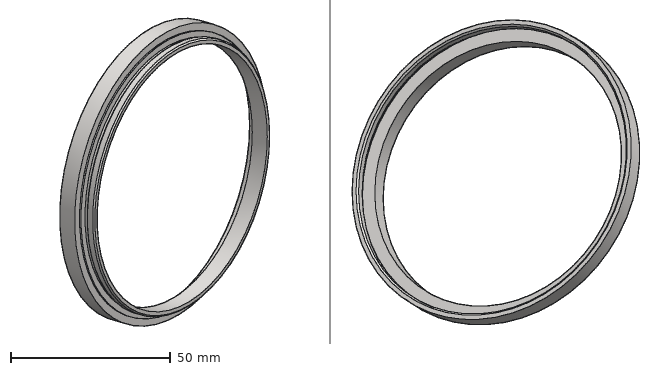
import cadquery as cq

rim_diameter = 98.0
shoulder_diameter = 93.0
male_thread_diameter = 90.0
male_relief_diameter = 89.0
female_thread_diameter = 94.0
female_relief_diameter = 95.2
bore_diameter = 86.5

rim_end = 6.0
shoulder_end = 6.6
male_thread_start = 7.9
total_length = 10.5
female_thread_end = 3.0
recess_depth = 4.5

male_taper = (male_thread_diameter - male_relief_diameter) / 2
female_taper = (female_relief_diameter - female_thread_diameter) / 2


def ring_section():
    """Half section of the ring: X is the axis, Y is the radius."""
    bore = bore_diameter / 2
    rim = rim_diameter / 2
    shoulder = shoulder_diameter / 2
    male_thread = male_thread_diameter / 2
    male_relief = male_relief_diameter / 2
    female_thread = female_thread_diameter / 2
    female_relief = female_relief_diameter / 2

    outside = [
        (0, rim),
        (rim_end, rim),
        (rim_end, shoulder),
        (shoulder_end, shoulder),
        (shoulder_end, male_relief),
        (male_thread_start - male_taper, male_relief),
        (male_thread_start, male_thread),
        (total_length - male_taper, male_thread),
        (total_length, male_relief),
    ]
    inside = [
        (total_length, bore),
        (recess_depth, bore),
        (recess_depth, female_relief),
        (female_thread_end + female_taper, female_relief),
        (female_thread_end, female_thread),
        (female_taper, female_thread),
        (0, female_relief),
    ]
    return cq.Workplane("XY").polyline(outside + inside).close()


result = ring_section().revolve(360, (0, 0, 0), (1, 0, 0))